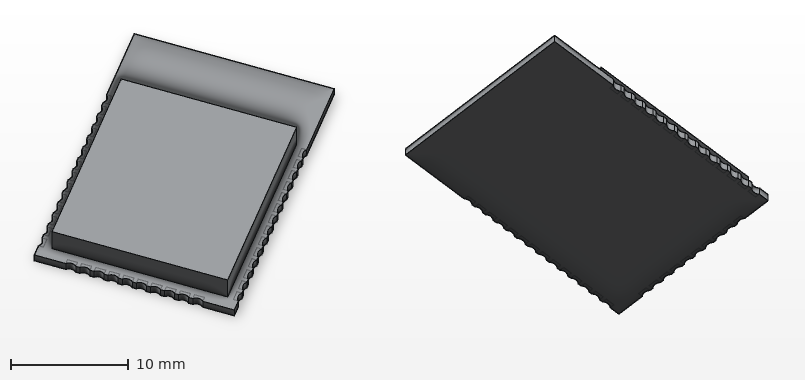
import cadquery as cq

board_width = 18.0
board_length = 25.5
board_thickness = 0.8

overall_height = 3.1
shield_height = overall_height - board_thickness
shield_width = 15.8
shield_length = 17.6
shield_left_margin = 1.2
shield_front_margin = 1.15

pad_pitch = 1.27
pad_width = 0.9
pad_depth = 0.45
scallop_depth = 0.18
side_pad_count = 14
front_pad_count = 10
first_front_pad_from_left = 3.29
first_side_pad_from_front = 1.5

left_edge = -board_width / 2
right_edge = board_width / 2
front_edge = -board_length / 2


def make_board():
    return cq.Workplane("XY").box(
        board_width, board_length, board_thickness, centered=(True, True, False)
    )


def make_shield():
    corner = (left_edge + shield_left_margin, front_edge + shield_front_margin, board_thickness)
    return (
        cq.Workplane("XY", origin=corner)
        .box(shield_width, shield_length, shield_height, centered=False)
    )


def contact_places():
    """Edge point (x, y) and inward direction (degrees from +X) of every contact."""
    places = []
    for i in range(side_pad_count):
        y = front_edge + first_side_pad_from_front + i * pad_pitch
        places.append((left_edge, y, 0))
        places.append((right_edge, y, 180))
    for i in range(front_pad_count):
        x = left_edge + first_front_pad_from_left + i * pad_pitch
        places.append((x, front_edge, 90))
    return places


def make_pad_blank():
    """Block through the board, reaching in from an edge on the Y axis."""
    return cq.Workplane("XY").box(
        pad_depth, pad_width, board_thickness, centered=(False, True, False)
    )


def make_scallop():
    """Circular segment, as wide as a pad, bulging inward from the Y axis."""
    return (
        cq.Workplane("XY")
        .moveTo(0, -pad_width / 2)
        .threePointArc((scallop_depth, 0), (0, pad_width / 2))
        .close()
        .extrude(board_thickness)
    )


def at_contacts(shape):
    """One copy of the shape at every contact, turned to face into the board."""
    copies = cq.Workplane("XY")
    for x, y, angle in contact_places():
        copies = copies.add(shape.rotate((0, 0, 0), (0, 0, 1), angle).translate((x, y, 0)))
    return copies.combine(clean=False)


pad_blank = make_pad_blank()
pads = at_contacts(pad_blank.cut(make_scallop()))
bare_board = make_board().cut(at_contacts(pad_blank)).union(make_shield())

result = bare_board.union(pads, clean=False)